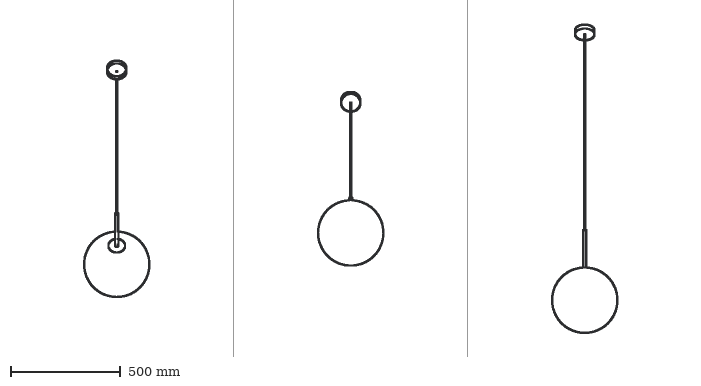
import cadquery as cq
import math

overall_height = 1691.0
globe_diameter = 300.0
globe_flat_diameter = 76.0
cap_thickness = 2.5
stem_diameter = 15.0
stem_length = 250.0
cable_diameter = 5.0
canopy_diameter = 90.0
canopy_height = 24.0
canopy_wall = 2.0

globe_radius = globe_diameter / 2
globe_flat_radius = globe_flat_diameter / 2
globe_flat_z = math.sqrt(globe_radius**2 - globe_flat_radius**2)
cap_top_z = globe_flat_z + cap_thickness
stem_top_z = cap_top_z + stem_length
canopy_top_z = overall_height - globe_radius
canopy_bottom_z = canopy_top_z - canopy_height
canopy_floor_z = canopy_bottom_z + canopy_wall


def cylinder(diameter, bottom_z, top_z):
    """Upright cylinder on the lamp axis."""
    return cq.Workplane("XY", origin=(0, 0, bottom_z)).circle(diameter / 2).extrude(top_z - bottom_z)


def make_globe():
    """Sphere cut flat at the top, where the cap disc sits."""
    profile = (
        cq.Workplane("XZ")
        .moveTo(0, -globe_radius)
        .threePointArc((globe_radius, 0), (globe_flat_radius, globe_flat_z))
        .lineTo(0, globe_flat_z)
        .close()
    )
    return profile.revolve(360, (0, 0, 0), (0, 1, 0))


def make_canopy():
    """Shallow ceiling cup, open at the top."""
    body = cylinder(canopy_diameter, canopy_bottom_z, canopy_top_z)
    hollow = cylinder(canopy_diameter - 2 * canopy_wall, canopy_floor_z, canopy_top_z)
    return body.cut(hollow)


cap = cylinder(globe_flat_diameter, globe_flat_z, cap_top_z)
stem = cylinder(stem_diameter, cap_top_z, stem_top_z)
cable = cylinder(cable_diameter, stem_top_z, canopy_bottom_z)
result = make_globe().union(cap).union(stem).union(cable).union(make_canopy())